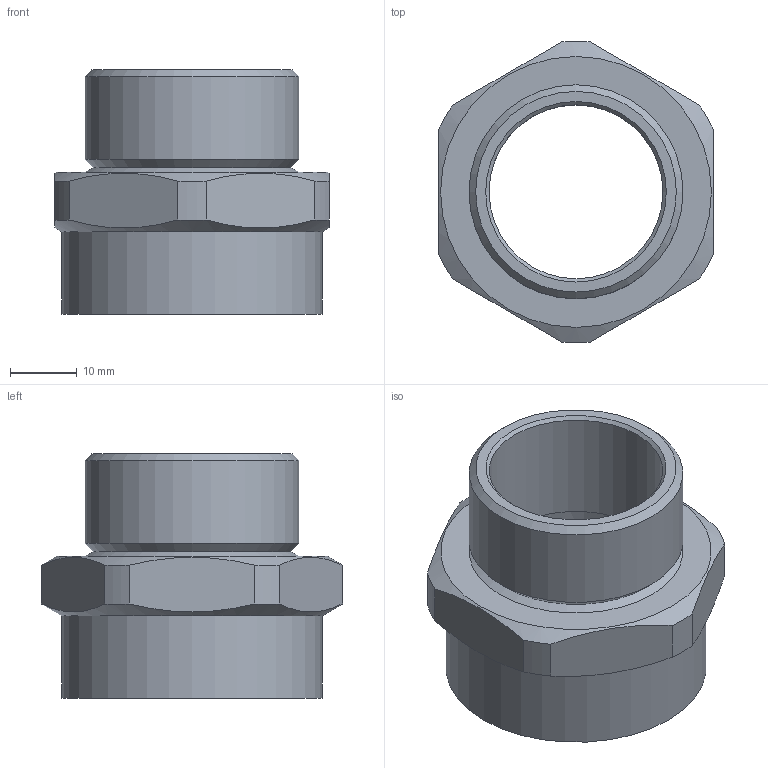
import cadquery as cq
import math

total_height = 36.5
hex_bottom_z = 12.3
hex_top_z = 21.2

across_flats = 41.0
hex_half_angle = 30.0
corner_radius = 22.55
hex_top_face_radius = 20.25
hex_chamfer_angle = 30.0
hex_chamfer_slope = math.tan(math.radians(hex_chamfer_angle))

socket_radius = 19.5
spigot_radius = 16.0
spigot_chamfer = 1.0

groove_root_radius = 14.75
groove_root_z = 21.9
groove_top_z = groove_root_z + spigot_radius - groove_root_radius

bore_radius = 13.0
bore_chamfer = 0.5
socket_mouth_radius = 15.0
socket_depth = 19.3
socket_taper = 1 / 16
socket_end_radius = socket_mouth_radius - socket_depth * socket_taper / 2


def revolve_about_axis(points):
    """Turn an (r, z) outline about the Z axis."""
    return cq.Workplane("XZ").polyline(points).close().revolve(360, (0, 0, 0), (0, 1, 0))


def make_collar():
    """Hexagon with flats facing +X and -X, corners turned and chamfered on both ends."""
    circumscribed_diameter = across_flats / math.cos(math.radians(hex_half_angle))
    prism = (
        cq.Workplane("XY")
        .workplane(offset=hex_bottom_z)
        .transformed(rotate=(0, 0, hex_half_angle))
        .polygon(6, circumscribed_diameter)
        .extrude(hex_top_z - hex_bottom_z)
    )
    lower_chamfer_height = (corner_radius - socket_radius) * hex_chamfer_slope
    upper_chamfer_height = (corner_radius - hex_top_face_radius) * hex_chamfer_slope
    turned_blank = revolve_about_axis([
        (0, hex_bottom_z),
        (socket_radius, hex_bottom_z),
        (corner_radius, hex_bottom_z + lower_chamfer_height),
        (corner_radius, hex_top_z - upper_chamfer_height),
        (hex_top_face_radius, hex_top_z),
        (0, hex_top_z),
    ])
    return prism.intersect(turned_blank)


def make_socket():
    """Plain lower cylinder."""
    return cq.Workplane("XY").circle(socket_radius).extrude(hex_bottom_z)


def make_spigot():
    """Upper cylinder with a chamfered end and the relief groove at its foot."""
    return revolve_about_axis([
        (0, hex_top_z),
        (spigot_radius, hex_top_z),
        (groove_root_radius, groove_root_z),
        (spigot_radius, groove_top_z),
        (spigot_radius, total_height - spigot_chamfer),
        (spigot_radius - spigot_chamfer, total_height),
        (0, total_height),
    ])


def make_bore():
    """Through bore with a chamfered mouth in the spigot and a flat-ended tapered socket below."""
    return revolve_about_axis([
        (0, 0),
        (socket_mouth_radius, 0),
        (socket_end_radius, socket_depth),
        (bore_radius, socket_depth),
        (bore_radius, total_height - bore_chamfer),
        (bore_radius + bore_chamfer, total_height),
        (0, total_height),
    ])


result = make_collar().union(make_socket()).union(make_spigot()).cut(make_bore())